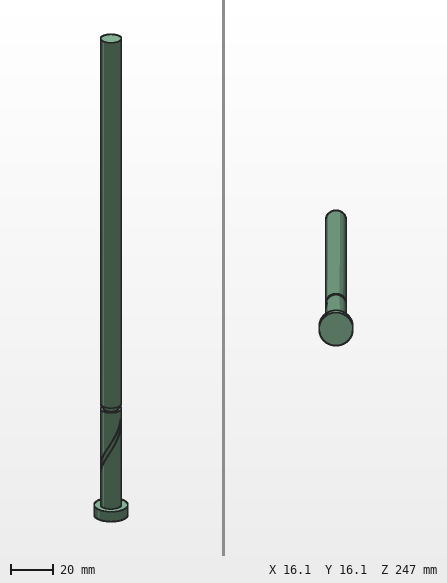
import cadquery as cq
import math

total_height = 247.0
shaft_radius = 5.0
head_radius = 8.03
head_height = 5.2

groove_bottom = 55.0
groove_height = 2.5
groove_root_radius = 3.5

helix_pitch = 51.9
helix_turns = 0.85
helix_start_angle = 102
spiral_width = 2.0
spiral_depth = 0.37
cutter_overshoot = 0.7


def make_shaft():
    """Revolve the shaft profile, including the ring groove."""
    profile = (
        cq.Workplane("XZ")
        .lineTo(shaft_radius, 0)
        .lineTo(shaft_radius, groove_bottom)
        .lineTo(groove_root_radius, groove_bottom)
        .lineTo(shaft_radius, groove_bottom + groove_height)
        .lineTo(shaft_radius, total_height)
        .lineTo(0, total_height)
        .close()
    )
    return profile.revolve(360, (0, 0), (0, 1))


def make_spiral_cutter():
    """Sweep a rectangle, square to the helix, along its path."""
    path = cq.Wire.makeHelix(helix_pitch, helix_turns * helix_pitch, shaft_radius)
    start_plane = cq.Plane(
        origin=(shaft_radius, 0, 0),
        xDir=(1, 0, 0),
        normal=(0, 2 * math.pi * shaft_radius, helix_pitch),
    )
    cutter = (
        cq.Workplane(start_plane)
        .center((cutter_overshoot - spiral_depth) / 2, 0)
        .rect(cutter_overshoot + spiral_depth, spiral_width)
        .sweep(cq.Workplane(path), isFrenet=True)
    )
    return cutter.rotate((0, 0, 0), (0, 0, 1), helix_start_angle).translate((0, 0, head_height))


head = cq.Workplane("XY").circle(head_radius).extrude(head_height)
shaft = make_shaft().cut(make_spiral_cutter())
result = shaft.union(head)